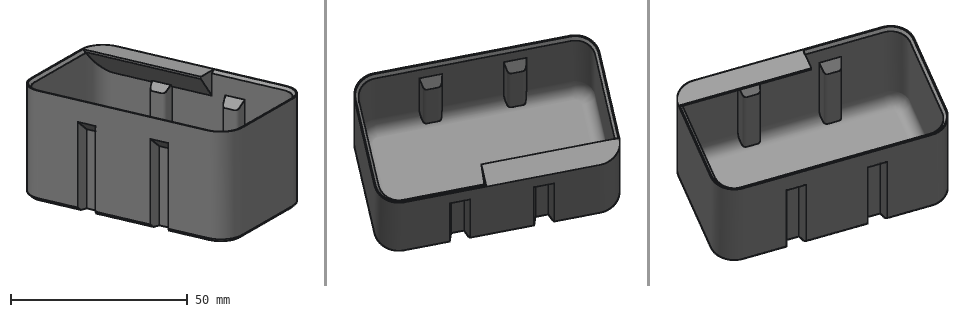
import cadquery as cq

length = 71.0
width = 41.2
height = 33.7
corner_radius = 7.1
base_chamfer = 1.1

wall = 1.3
floor = 1.2
floor_fillet = 4.0
rim_land = 0.35
rim_chamfer = wall - rim_land

groove_offset = 12.2
groove_height = 27.1
groove_mouth = 5.95
groove_bed = 3.7
groove_depth = 3.0
rib_mouth = 7.4
rib_crest = 5.0
rib_edge_fillet = 1.15
rib_depth = 4.0
rib_height = groove_height + wall

shelf_length = 40.0
shelf_depth = 7.1
shelf_edge = 0.7
shelf_drop = 9.3


def rounded_block(block_length, block_width, block_height, radius):
    """Block standing on Z = 0 with rounded vertical edges."""
    block = cq.Workplane("XY").box(block_length, block_width, block_height, centered=(True, True, False))
    return block.edges("|Z").fillet(radius)


def tapered_bar(mouth, crest, depth, bar_height, edge_fillet=0):
    """Trapezoidal bar reaching in from the -Y wall, with its top sloping at 45 degrees."""
    outer = -width / 2
    inner = outer + depth
    section = [(-mouth / 2, outer), (-crest / 2, inner), (crest / 2, inner), (mouth / 2, outer)]
    bar = cq.Workplane("XY").polyline(section).close().extrude(bar_height)
    if edge_fillet:
        bar = bar.edges("|Z and >Y").fillet(edge_fillet)
    side = [(outer, 0), (inner, 0), (inner, bar_height - depth), (outer, bar_height)]
    profile = cq.Workplane("YZ").polyline(side).close().extrude(mouth / 2, both=True)
    return bar.intersect(profile)


def on_long_walls(bar):
    """Two copies of a -Y wall bar on each long wall."""
    copies = cq.Workplane("XY")
    for angle in (0, 180):
        for offset in (-groove_offset, groove_offset):
            copies = copies.add(bar.translate((offset, 0, 0)).rotate((0, 0, 0), (0, 0, 1), angle))
    return copies.combine()


envelope = rounded_block(length, width, height, corner_radius).faces("<Z").edges().chamfer(base_chamfer)
cavity = rounded_block(length - 2 * wall, width - 2 * wall, height - floor, corner_radius - wall)
cavity = cavity.faces("<Z").edges().fillet(floor_fillet).translate((0, 0, floor))
body = envelope.cut(cavity)

rim = body.faces(">Z").wires().vals()
inner_rim = min(rim, key=lambda wire: wire.BoundingBox().xlen)
body = body.newObject(inner_rim.Edges()).chamfer(rim_chamfer)

shelf_section = [
    (width / 2, height),
    (width / 2 - shelf_depth, height),
    (width / 2 - shelf_depth, height - shelf_edge),
    (width / 2, height - shelf_drop),
]
shelf = cq.Workplane("YZ", origin=(-length / 2, 0, 0)).polyline(shelf_section).close().extrude(shelf_length)
body = body.union(shelf.intersect(envelope))

rib = tapered_bar(rib_mouth, rib_crest, rib_depth, rib_height, rib_edge_fillet)
groove = tapered_bar(groove_mouth, groove_bed, groove_depth, groove_height)
body = body.union(on_long_walls(rib).intersect(envelope))
result = body.cut(on_long_walls(groove))